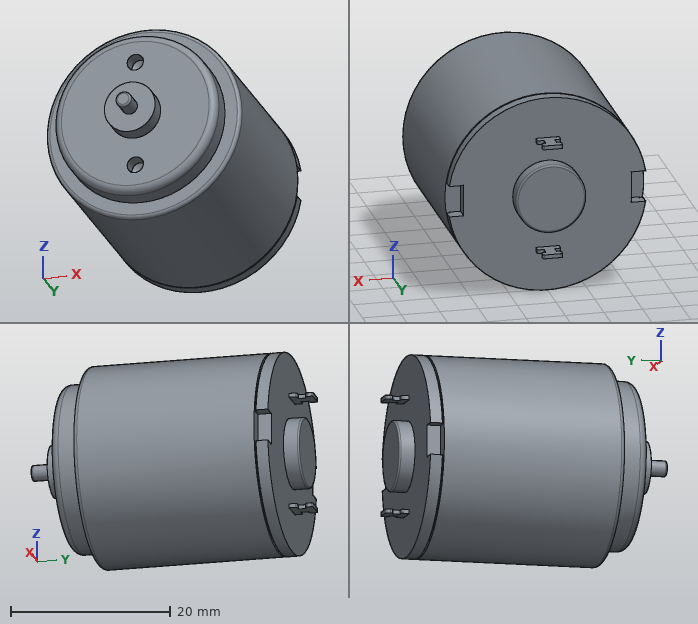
import cadquery as cq
import math


can_diameter = 25.7
can_length = 23.42
can_edge_radius = 0.48
groove_depth = 0.45
groove_width = 0.22
plate_thickness = 1.55
notch_width = 4.05
notch_depth = 2.0

step_diameter = 21.5
step_length = 3.45
step_edge_radius = 1.0
front_boss_diameter = 6.7
front_boss_length = 2.27
shaft_diameter = 2.0
shaft_length = 2.7
shaft_tip_radius = 0.25

rear_boss_diameter = 9.0
rear_boss_length = 2.0
rear_boss_edge_radius = 0.22

hole_diameter = 2.12
hole_offset = 7.0
hole_depth = 2.0
drill_point_angle = 118

terminal_offset = 7.3
terminal_thickness = 0.5
terminal_length = 3.0
terminal_base_width = 3.0
terminal_base_length = 1.0
terminal_neck_width = 1.43
terminal_head_width = 2.55
terminal_head_length = 1.02
terminal_corner_radius = 0.2
terminal_head_inner_radius = 0.35

step_face = -step_length
front_boss_face = step_face - front_boss_length
groove_rear = can_length + groove_width
plate_rear = groove_rear + plate_thickness
groove_diameter = can_diameter - 2 * groove_depth


def cylinder(diameter, start, length):
    """Cylinder about the motor axis, from y = start toward +Y."""
    axis_plane = cq.Plane(origin=(0, start, 0), xDir=(1, 0, 0), normal=(0, 1, 0))
    return cq.Workplane(axis_plane).circle(diameter / 2).extrude(length)


def make_rear_cap():
    """Groove core and end plate, with a square notch through both on each side."""
    cap = cylinder(groove_diameter, can_length, groove_width)
    cap = cap.union(cylinder(can_diameter, groove_rear, plate_thickness))
    notch_length = groove_width + plate_thickness
    notch_center_x = (can_diameter - notch_depth) / 2
    for side in (-1, 1):
        notch = cq.Workplane("XY").box(notch_depth, notch_length, notch_width)
        cap = cap.cut(notch.translate((side * notch_center_x, can_length + notch_length / 2, 0)))
    return cap


def make_mounting_hole(height):
    """Drilled hole cutter entering the front step face at z = height."""
    radius = hole_diameter / 2
    point_length = radius / math.tan(math.radians(drill_point_angle / 2))
    shoulder = step_face + hole_depth
    return (
        cq.Workplane("XY")
        .moveTo(0, step_face)
        .lineTo(radius, step_face)
        .lineTo(radius, shoulder)
        .lineTo(0, shoulder + point_length)
        .close()
        .revolve(360, (0, 0, 0), (0, 1, 0))
        .translate((0, 0, height))
    )


def terminal_bar(width, start, length):
    """Flat bar centred on z = 0, from y = start toward +Y."""
    return (
        cq.Workplane("XY")
        .box(width, length, terminal_thickness)
        .translate((0, start + length / 2, 0))
    )


def make_terminal(height):
    """Waisted solder tab standing on the end plate at z = height."""
    head_start = plate_rear + terminal_length - terminal_head_length
    base = terminal_bar(terminal_base_width, plate_rear, terminal_base_length)
    base = base.edges("|Z and >Y").fillet(terminal_corner_radius)
    neck = terminal_bar(terminal_neck_width, plate_rear, terminal_length)
    head = terminal_bar(terminal_head_width, head_start, terminal_head_length)
    head = head.edges("|Z and >Y").fillet(terminal_corner_radius)
    head = head.edges("|Z and <Y").fillet(terminal_head_inner_radius)
    return base.union(neck).union(head).translate((0, 0, height))


can = cylinder(can_diameter, 0, can_length).faces("<Y").edges().fillet(can_edge_radius)
step = cylinder(step_diameter, step_face, step_length).faces("<Y").edges().fillet(step_edge_radius)
front_boss = cylinder(front_boss_diameter, front_boss_face, front_boss_length)
shaft = cylinder(shaft_diameter, front_boss_face - shaft_length, shaft_length)
shaft = shaft.faces("<Y").edges().fillet(shaft_tip_radius)

rear_boss = cylinder(rear_boss_diameter, plate_rear, rear_boss_length)
rear_boss = rear_boss.faces(">Y").edges().fillet(rear_boss_edge_radius)

result = can.union(step).union(front_boss).union(shaft)
result = result.union(make_rear_cap()).union(rear_boss)
for side in (-1, 1):
    result = result.cut(make_mounting_hole(side * hole_offset))
    result = result.union(make_terminal(side * terminal_offset))